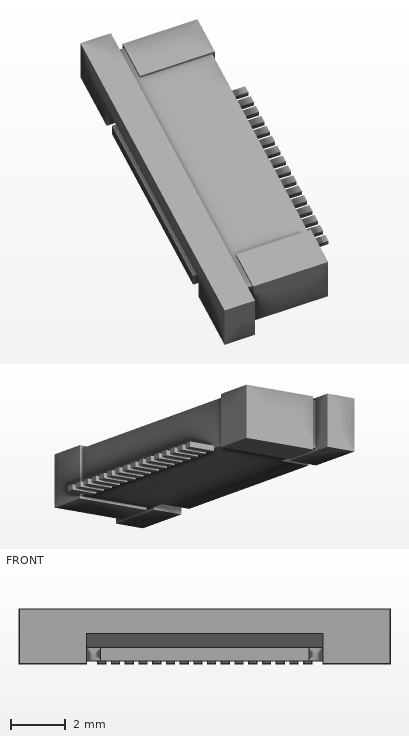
import cadquery as cq


bar_length = 13.5
bar_depth = 1.2
overall_height = 2.0

housing_length = 12.0
housing_gap = 0.1
housing_bottom = housing_gap
housing_top = overall_height - housing_gap
housing_back = 4.25

slot_length = 8.6
slot_bottom = 0.6
slot_top = 1.1
slot_back_wall = 1.0

tongue_side_clearance = 0.5
tongue_length = slot_length - 2 * tongue_side_clearance

end_block_length = 1.63
end_block_front = 1.4
end_block_back = 4.35
end_block_overall = 12.25

tail_count = 16
tail_pitch = 0.5
tail_width = 0.3
tail_height = 0.2
tail_back = 5.3


def box(x_center, length, y_range, z_range):
    """Block centred on x_center, between the given Y and Z limits."""
    y_min, y_max = y_range
    z_min, z_max = z_range
    corner = (x_center - length / 2, y_min, z_min)
    return cq.Workplane("XY").box(length, y_max - y_min, z_max - z_min, centered=False).translate(corner)


def make_locking_bar():
    """Bar with a notch in its lower edge for the cable."""
    bar = box(0, bar_length, (0, bar_depth), (0, overall_height))
    notch = box(0, slot_length, (0, bar_depth), (0, slot_top))
    return bar.cut(notch)


def make_housing():
    """Housing block with a blind cable slot in its front face."""
    block = box(0, housing_length, (bar_depth, housing_back), (housing_bottom, housing_top))
    slot_range = (bar_depth, housing_back - slot_back_wall)
    slot = box(0, slot_length, slot_range, (slot_bottom, slot_top))
    return block.cut(slot)


def make_tongue():
    """Tongue level with the slot floor, reaching the front of the bar."""
    return box(0, tongue_length, (0, bar_depth), (housing_bottom, slot_bottom))


def make_end_block(side):
    """Full-height block at the -X (side = -1) or +X (side = 1) end."""
    x_center = side * (end_block_overall - end_block_length) / 2
    return box(x_center, end_block_length, (end_block_front, end_block_back), (0, overall_height))


def make_tail(index):
    """Flat solder tail on the back of the housing."""
    x_center = (index - (tail_count - 1) / 2) * tail_pitch
    return box(x_center, tail_width, (housing_back, tail_back), (0, tail_height))


result = make_locking_bar().union(make_housing()).union(make_tongue())
for side in (-1, 1):
    result = result.union(make_end_block(side))
for index in range(tail_count):
    result = result.union(make_tail(index))